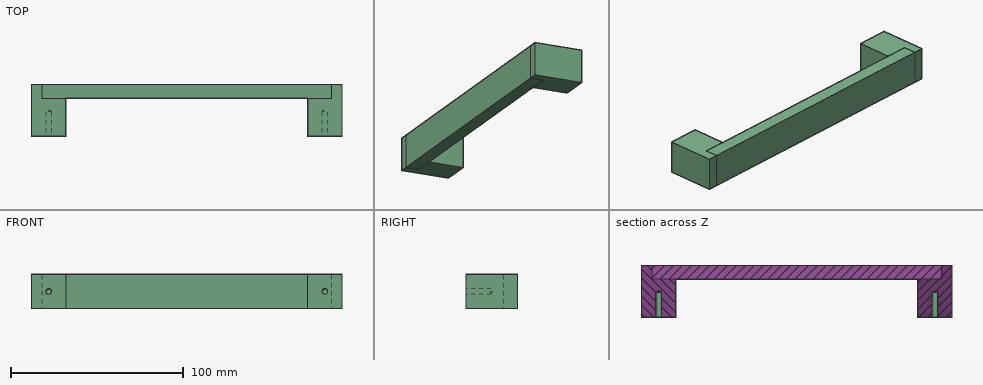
import cadquery as cq
import math

length = 180.0
depth = 30.0
height = 20.0

foot_width = height

bar_thickness = 8.1
end_wall = 6.1
bar_length = length - 2 * end_wall

hole_diameter = 3.2
hole_depth = 14.4
drill_point_angle = 118

front_y = -depth / 2
back_y = depth / 2
foot_offset = (length - foot_width) / 2


def make_bar():
    """Plain rectangular grip between the two end walls."""
    bar_center_y = back_y - bar_thickness / 2
    return cq.Workplane("XY").box(bar_length, bar_thickness, height).translate((0, bar_center_y, 0))


def make_screw_hole(center_x):
    """Drill shape turned about its axis: a straight shank followed by a conical point."""
    radius = hole_diameter / 2
    point_length = radius / math.tan(math.radians(drill_point_angle / 2))
    half_profile = (
        cq.Workplane("XY", origin=(center_x, front_y, 0))
        .lineTo(radius, 0)
        .lineTo(radius, hole_depth)
        .lineTo(0, hole_depth + point_length)
        .close()
    )
    return half_profile.revolve(360, (0, 0, 0), (0, 1, 0))


def make_foot(center_x, bar):
    """Square foot, recessed for the end of the bar and drilled for its screw."""
    foot = cq.Workplane("XY").box(foot_width, depth, height).translate((center_x, 0, 0))
    return foot.cut(bar).cut(make_screw_hole(center_x))


bar = make_bar()
feet = [make_foot(center_x, bar) for center_x in (-foot_offset, foot_offset)]

result = cq.Compound.makeCompound([bar.val(), *[foot.val() for foot in feet]])